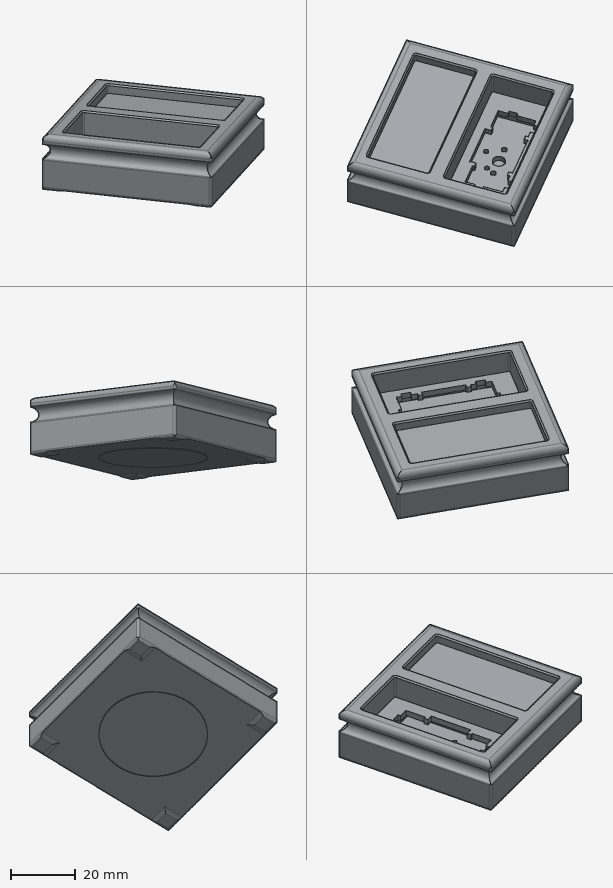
import cadquery as cq
import math

SIDE = 55.0
HEIGHT = 18.0
CORNER_RADIUS = 0.75
TOP_RADIUS = 2.0
BOTTOM_RADIUS = 1.0

COVE_RADIUS = 2.5
COVE_DEPTH = 2.1
COVE_CENTER_Z = 12.6
COVE_LIP_RADIUS = 0.3

FOOT_HEIGHT = 0.45
FOOT_TIP_EDGE = 22.3
FOOT_ROOT_EDGE = 20.6
PAD_RADIUS = 16.8
PAD_HEIGHT = 0.2

POCKET_LENGTH = 43.95
POCKET_WIDTH = 20.0
POCKET_OFFSET = 12.65
POCKET_CORNER_RADIUS = 0.55
RIM_CHAMFER = 0.5
RIM_ANGLE = 45
SHALLOW_DEPTH = 3.0
DEEP_DEPTH = 8.0

PLATE_THICKNESS = 2.0
SWITCH_HALF = 7.05
NOTCH_EDGE = 8.45
NOTCH_TOP = 4.95
NOTCH_BOTTOM = -5.8
WING_EDGE = 15.3
WING_TOP = 5.6
WING_BOTTOM = -6.65
TAB_EDGE = 16.2
TAB_TOP = 2.35
TAB_BOTTOM = -0.45
FOOT_TAB_INNER = 10.4
FOOT_TAB_OUTER = 13.4
FOOT_TAB_BOTTOM = -7.85

CHAMBER_LENGTH = 34.0
CHAMBER_HEIGHT = 3.0

HOLE_DEPTH = 2.0
STEM_DIAMETER = 4.0
POST_DIAMETER = 1.75
PIN_DIAMETER = 1.55
PIN_PITCH = 1.25

half_side = SIDE / 2
deep_floor_z = HEIGHT - DEEP_DEPTH
plate_bottom_z = deep_floor_z - PLATE_THICKNESS
chamber_floor_z = plate_bottom_z - CHAMBER_HEIGHT

post_centers = [(-4 * PIN_PITCH, 0), (4 * PIN_PITCH, 0)]
pin_centers = [(-3 * PIN_PITCH, 2 * PIN_PITCH), (2 * PIN_PITCH, 4 * PIN_PITCH)]


def moulded_prism(plane):
    """Bar with rounded top and bottom edges and a cove along each long side."""
    bar = cq.Workplane(plane).rect(SIDE, HEIGHT).extrude(half_side, both=True)
    bar = bar.translate((0, 0, HEIGHT / 2))
    run = "|Y" if plane == "XZ" else "|X"
    bar = bar.faces(">Z").edges(run).fillet(TOP_RADIUS)
    bar = bar.faces("<Z").edges(run).fillet(BOTTOM_RADIUS)
    cove_center = half_side - COVE_DEPTH + COVE_RADIUS
    coves = (
        cq.Workplane(plane)
        .pushPoints([(-cove_center, COVE_CENTER_Z), (cove_center, COVE_CENTER_Z)])
        .circle(COVE_RADIUS)
        .extrude(half_side, both=True)
    )
    bar = bar.cut(coves)
    cove_half_height = math.sqrt(COVE_RADIUS**2 - (COVE_RADIUS - COVE_DEPTH) ** 2)
    for direction in (-1, 1):
        lip_z = COVE_CENTER_Z + direction * cove_half_height
        for side in (-half_side, half_side):
            lip = (side, 0, lip_z) if plane == "XZ" else (0, side, lip_z)
            bar = bar.edges(cq.selectors.NearestToPointSelector(lip)).fillet(COVE_LIP_RADIUS)
    return bar


def block():
    """Two crossing moulded bars meet in mitres; a rounded square column trims the corners."""
    column = cq.Workplane("XY").rect(SIDE, SIDE).extrude(HEIGHT).edges("|Z").fillet(CORNER_RADIUS)
    return moulded_prism("XZ").intersect(moulded_prism("YZ")).intersect(column)


def foot_gap(plane):
    """Tapered clearance between the feet, running right across the underside."""
    return (
        cq.Workplane(plane)
        .moveTo(-FOOT_TIP_EDGE, 0)
        .lineTo(-FOOT_ROOT_EDGE, FOOT_HEIGHT)
        .lineTo(FOOT_ROOT_EDGE, FOOT_HEIGHT)
        .lineTo(FOOT_TIP_EDGE, 0)
        .close()
        .extrude(half_side, both=True)
    )


def underside_relief():
    pad = cq.Workplane("XY").workplane(offset=PAD_HEIGHT).circle(PAD_RADIUS).extrude(FOOT_HEIGHT)
    return foot_gap("XZ").union(foot_gap("YZ")).cut(pad)


def pocket(center_y, depth):
    """Rounded rectangular well that flares out to a chamfered rim."""
    well = (
        cq.Workplane("XY", origin=(0, center_y, HEIGHT - depth))
        .rect(POCKET_LENGTH, POCKET_WIDTH)
        .extrude(depth)
        .edges("|Z")
        .fillet(POCKET_CORNER_RADIUS)
    )
    rim = (
        cq.Workplane("XY", origin=(0, center_y, HEIGHT))
        .sketch()
        .rect(POCKET_LENGTH + 2 * RIM_CHAMFER, POCKET_WIDTH + 2 * RIM_CHAMFER)
        .vertices()
        .fillet(POCKET_CORNER_RADIUS + RIM_CHAMFER)
        .finalize()
        .extrude(-RIM_CHAMFER, taper=RIM_ANGLE)
    )
    return well.union(rim)


def switch_opening():
    """Outline with wings, locating notches and tabs; symmetric about the switch's Y axis."""
    right_half = [
        (SWITCH_HALF, SWITCH_HALF),
        (SWITCH_HALF, NOTCH_TOP),
        (NOTCH_EDGE, NOTCH_TOP),
        (NOTCH_EDGE, WING_TOP),
        (WING_EDGE, WING_TOP),
        (WING_EDGE, TAB_TOP),
        (TAB_EDGE, TAB_TOP),
        (TAB_EDGE, TAB_BOTTOM),
        (WING_EDGE, TAB_BOTTOM),
        (WING_EDGE, WING_BOTTOM),
        (FOOT_TAB_OUTER, WING_BOTTOM),
        (FOOT_TAB_OUTER, FOOT_TAB_BOTTOM),
        (FOOT_TAB_INNER, FOOT_TAB_BOTTOM),
        (FOOT_TAB_INNER, WING_BOTTOM),
        (NOTCH_EDGE, WING_BOTTOM),
        (NOTCH_EDGE, NOTCH_BOTTOM),
        (SWITCH_HALF, NOTCH_BOTTOM),
        (SWITCH_HALF, -SWITCH_HALF),
    ]
    left_half = [(-x, y) for x, y in reversed(right_half)]
    return (
        cq.Workplane("XY", origin=(0, -POCKET_OFFSET, plate_bottom_z))
        .polyline(right_half + left_half)
        .close()
        .extrude(PLATE_THICKNESS)
    )


def chamber():
    """Rectangular room under the plate that carries the switch."""
    return (
        cq.Workplane("XY", origin=(0, -POCKET_OFFSET, chamber_floor_z))
        .rect(CHAMBER_LENGTH, POCKET_WIDTH)
        .extrude(CHAMBER_HEIGHT)
    )


def chamber_holes(diameter, centers):
    return (
        cq.Workplane("XY", origin=(0, -POCKET_OFFSET, chamber_floor_z - HOLE_DEPTH))
        .pushPoints(centers)
        .circle(diameter / 2)
        .extrude(HOLE_DEPTH)
    )


result = (
    block()
    .cut(underside_relief())
    .cut(pocket(POCKET_OFFSET, SHALLOW_DEPTH))
    .cut(pocket(-POCKET_OFFSET, DEEP_DEPTH))
    .cut(switch_opening())
    .cut(chamber())
    .cut(chamber_holes(STEM_DIAMETER, [(0, 0)]))
    .cut(chamber_holes(POST_DIAMETER, post_centers))
    .cut(chamber_holes(PIN_DIAMETER, pin_centers))
)